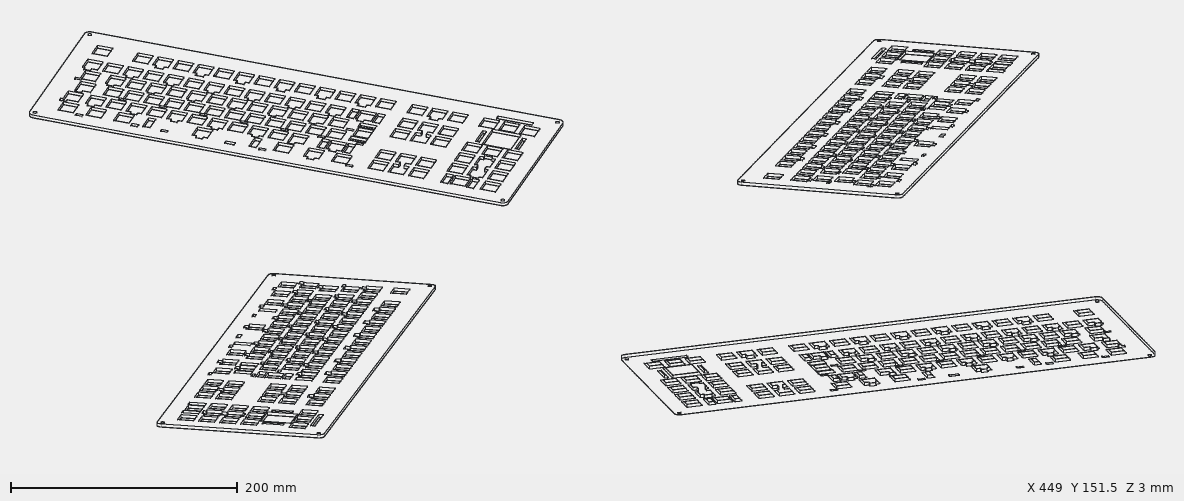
import cadquery as cq

PLATE_LENGTH = 449.0
PLATE_WIDTH = 151.5
PLATE_THICKNESS = 3.0
CORNER_RADIUS = 5.0
SCREW_HOLE_DIAMETER = 3.2
SCREW_HOLE_INSET = 5.0

TWELVE_PITCHES = 228.0
KEY_PITCH = TWELVE_PITCHES / 12
CENTER_COLUMN = 10.5
KEY_CUTOUT = 14.5

ENTER_Y = -5.0
TAB_ROW_Y = ENTER_Y + KEY_PITCH / 2
NUMBER_ROW_Y = TAB_ROW_Y + KEY_PITCH
CAPS_ROW_Y = ENTER_Y - KEY_PITCH / 2
SHIFT_ROW_Y = CAPS_ROW_Y - KEY_PITCH
SPACE_ROW_Y = SHIFT_ROW_Y - KEY_PITCH
FUNCTION_ROW_Y = 48.5

NAVIGATION_LEFT_X = 96.0
NUMPAD_LEFT_X = 163.5
BLOCK_COLUMNS = range(3)
NAVIGATION_MIDDLE_X = NAVIGATION_LEFT_X + KEY_PITCH
NUMPAD_MIDDLE_X = NUMPAD_LEFT_X + KEY_PITCH

BACKSPACE_COLUMN = 13.5
ENTER_X = 64.5
RIGHT_SHIFT_COLUMN = 13.125
SPACE_BAR_COLUMN = 6.875
NUMPAD_ZERO_X = NUMPAD_LEFT_X + KEY_PITCH / 2

STABILIZER_WIDTH = 6.7
STABILIZER_LENGTH = 15.3
STABILIZER_SHIFT = 0.5
STABILIZER_REACH = 12.0
SPACE_BAR_STABILIZER_REACH = 50.0

OPEN_SLOT_TOP = 6.7
CLOSED_SLOT_TOP = 7.5
SLOT_BOTTOM = 10.5
FUNCTION_SLOT_BOTTOM = 11.2
TAB_SLOT_BOTTOM = 9.5
SLOT_LENGTH = 6.5
FUNCTION_SLOT_LENGTH = 7.5
SPACE_BAR_SLOT_LENGTH = 9.0

DISPLAY_SIZE = 27.0
DISPLAY_X = 183.0
DISPLAY_Y = 26.5
SIDE_SLOT_LENGTH = 19.0
SIDE_SLOT_WIDTH = 3.5
SIDE_SLOT_XS = (164.5, 201.5)
SIDE_SLOT_Y = 25.0
TOP_SLOT_LENGTH = 33.2
TOP_SLOT_WIDTH = 4.0
TOP_SLOT_Y = 60.5

NAVIGATION_LINK_WIDTH = 5.0
NUMPAD_LINK_WIDTH = 7.5
NUMPAD_LINK_OVERRUN = 2.2

MAIN_KEY_ROWS = [
    (FUNCTION_ROW_Y, [0, *range(2, 15)]),
    (NUMBER_ROW_Y, [*range(13), BACKSPACE_COLUMN]),
    (TAB_ROW_Y, [0.25, *[1.5 + n for n in range(12)]]),
    (CAPS_ROW_Y, [0.375, *[1.75 + n for n in range(12)]]),
    (SHIFT_ROW_Y, [0.125, *[1.25 + n for n in range(11)], RIGHT_SHIFT_COLUMN]),
    (SPACE_ROW_Y, [0.25, 1.625, 3, SPACE_BAR_COLUMN, 10.875, 12.375, 13.75]),
]
NAVIGATION_ROWS = [FUNCTION_ROW_Y, NUMBER_ROW_Y, TAB_ROW_Y, SHIFT_ROW_Y, SPACE_ROW_Y]
NUMPAD_ROWS = [FUNCTION_ROW_Y, TAB_ROW_Y, CAPS_ROW_Y, SHIFT_ROW_Y]

NUMBER_SLOT_COLUMNS = [-0.09, *[1.99 + 2 * n for n in range(6)], 13.38]
TAB_SLOT_COLUMNS = [-0.2, *[1.4 + 2 * n for n in range(6)], 13.22]
CAPS_SLOT_COLUMNS = [*[2.37 + 2 * n for n in range(5)], 12.2, 14.08]
SHIFT_SLOT_COLUMNS = [-0.2, 1.16, *[3.28 + 2 * n for n in range(4)], 11.05, 13.1]

SLOT_ROWS = [
    (FUNCTION_ROW_Y, OPEN_SLOT_TOP, FUNCTION_SLOT_BOTTOM, FUNCTION_SLOT_LENGTH, range(3, 14, 2)),
    (NUMBER_ROW_Y, OPEN_SLOT_TOP, SLOT_BOTTOM, SLOT_LENGTH, NUMBER_SLOT_COLUMNS),
    (TAB_ROW_Y, OPEN_SLOT_TOP, TAB_SLOT_BOTTOM, SLOT_LENGTH, TAB_SLOT_COLUMNS),
    (CAPS_ROW_Y, OPEN_SLOT_TOP, SLOT_BOTTOM, SLOT_LENGTH, [0.2]),
    (CAPS_ROW_Y, CLOSED_SLOT_TOP, SLOT_BOTTOM, SLOT_LENGTH, CAPS_SLOT_COLUMNS),
    (SHIFT_ROW_Y, OPEN_SLOT_TOP, SLOT_BOTTOM, SLOT_LENGTH, SHIFT_SLOT_COLUMNS),
    (SPACE_ROW_Y, OPEN_SLOT_TOP, SLOT_BOTTOM, SLOT_LENGTH, [3.69, 6.89, 12.38]),
    (SPACE_ROW_Y, CLOSED_SLOT_TOP, SLOT_BOTTOM, SLOT_LENGTH, [0.95, 5.15, 9.99, 14.29]),
    (SPACE_ROW_Y, OPEN_SLOT_TOP, SLOT_BOTTOM, SPACE_BAR_SLOT_LENGTH, [8.39]),
]


def column_x(column):
    return (column - CENTER_COLUMN) * KEY_PITCH


def cut_windows(body, centers, length, width):
    """Cut equal rectangular windows through the plate."""
    windows = cq.Workplane("XY").pushPoints(centers).rect(length, width).extrude(PLATE_THICKNESS)
    return body.cut(windows)


def make_plate():
    plate = cq.Workplane("XY").rect(PLATE_LENGTH, PLATE_WIDTH).extrude(PLATE_THICKNESS)
    plate = plate.edges("|Z").fillet(CORNER_RADIUS)
    hole_span_x = PLATE_LENGTH - 2 * SCREW_HOLE_INSET
    hole_span_y = PLATE_WIDTH - 2 * SCREW_HOLE_INSET
    corners = plate.faces(">Z").workplane().rect(hole_span_x, hole_span_y, forConstruction=True).vertices()
    return corners.hole(SCREW_HOLE_DIAMETER)


def cut_keys(body):
    centers = [(column_x(column), y) for y, columns in MAIN_KEY_ROWS for column in columns]
    for left_x, rows in ((NAVIGATION_LEFT_X, NAVIGATION_ROWS), (NUMPAD_LEFT_X, NUMPAD_ROWS)):
        centers += [(left_x + column * KEY_PITCH, y) for y in rows for column in BLOCK_COLUMNS]
    numpad_right_x = NUMPAD_MIDDLE_X + KEY_PITCH
    centers += [(ENTER_X, ENTER_Y), (NUMPAD_ZERO_X, SPACE_ROW_Y), (numpad_right_x, SPACE_ROW_Y)]
    return cut_windows(body, centers, KEY_CUTOUT, KEY_CUTOUT)


def cut_slots(body):
    for row_y, top, bottom, length, columns in SLOT_ROWS:
        slot_y = row_y - (top + bottom) / 2
        centers = [(column_x(column), slot_y) for column in columns]
        if row_y == FUNCTION_ROW_Y:
            centers.append((NAVIGATION_MIDDLE_X, slot_y))
        body = cut_windows(body, centers, length, bottom - top)
    return body


def cut_stabilizers(body):
    wide_keys = [
        (column_x(BACKSPACE_COLUMN), NUMBER_ROW_Y, STABILIZER_REACH),
        (column_x(RIGHT_SHIFT_COLUMN), SHIFT_ROW_Y, STABILIZER_REACH),
        (column_x(SPACE_BAR_COLUMN), SPACE_ROW_Y, SPACE_BAR_STABILIZER_REACH),
        (NUMPAD_ZERO_X, SPACE_ROW_Y, STABILIZER_REACH),
    ]
    upright = [(x + side * reach, y - STABILIZER_SHIFT) for x, y, reach in wide_keys for side in (-1, 1)]
    body = cut_windows(body, upright, STABILIZER_WIDTH, STABILIZER_LENGTH)
    lying_x = ENTER_X - STABILIZER_SHIFT
    lying = [(lying_x, ENTER_Y + side * STABILIZER_REACH) for side in (-1, 1)]
    return cut_windows(body, lying, STABILIZER_LENGTH, STABILIZER_WIDTH)


def cut_links(body):
    row_pairs = [(NUMBER_ROW_Y, TAB_ROW_Y), (SHIFT_ROW_Y, SPACE_ROW_Y)]
    navigation_links = [(NAVIGATION_MIDDLE_X, (upper + lower) / 2) for upper, lower in row_pairs]
    body = cut_windows(body, navigation_links, NAVIGATION_LINK_WIDTH, KEY_PITCH)
    numpad_link = (NUMPAD_MIDDLE_X, (CAPS_ROW_Y + SHIFT_ROW_Y) / 2)
    link_length = KEY_PITCH + KEY_CUTOUT + 2 * NUMPAD_LINK_OVERRUN
    return cut_windows(body, [numpad_link], NUMPAD_LINK_WIDTH, link_length)


def cut_display(body):
    body = cut_windows(body, [(DISPLAY_X, DISPLAY_Y)], DISPLAY_SIZE, DISPLAY_SIZE)
    side_slots = [(x, SIDE_SLOT_Y) for x in SIDE_SLOT_XS]
    body = cut_windows(body, side_slots, SIDE_SLOT_WIDTH, SIDE_SLOT_LENGTH)
    return cut_windows(body, [(DISPLAY_X, TOP_SLOT_Y)], TOP_SLOT_LENGTH, TOP_SLOT_WIDTH)


result = make_plate()
for cut_feature in (cut_keys, cut_slots, cut_stabilizers, cut_links, cut_display):
    result = cut_feature(result)